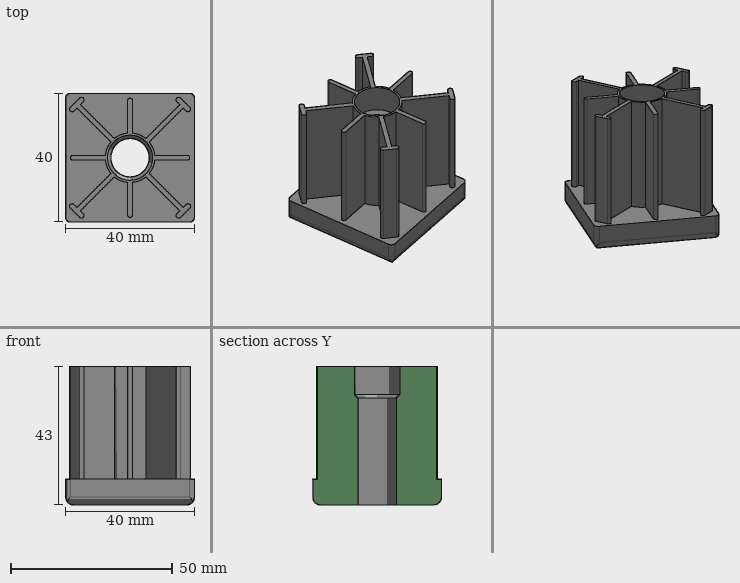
import cadquery as cq

total_height = 42.99
cap_width = 40.0
cap_thickness = 8.0
cap_corner_radius = 1.5
cap_edge_radius = 2.5

stem_height = total_height - cap_thickness
socket_outer_diameter = 15.4

bore_top_diameter = 14.0
bore_bottom_diameter = 11.84
bore_depth = 8.75
cone_height = (bore_top_diameter - bore_bottom_diameter) / 2

rib_count_per_kind = 4
rib_spacing = 360 / rib_count_per_kind
rib_thickness = 1.5
rib_overlap = 0.5
rib_start = socket_outer_diameter / 2 - rib_overlap

straight_rib_reach = 18.5
tee_rib_reach = 24.15

head_thickness = 1.6
head_length = 5.7


def stem_plane():
    """Workplane on the upper face of the cap."""
    return cq.Workplane("XY").workplane(offset=cap_thickness)


def make_rounded_bar(profile_plane, lower_edges):
    """Block of the cap's size with two opposite lower edges rounded."""
    return (
        cq.Workplane(profile_plane)
        .center(0, cap_thickness / 2)
        .rect(cap_width, cap_thickness)
        .extrude(cap_width / 2, both=True)
        .edges(lower_edges)
        .fillet(cap_edge_radius)
    )


def make_cap():
    """Square cap with rounded corners and rounded lower edges that meet in mitres."""
    block = (
        cq.Workplane("XY")
        .rect(cap_width, cap_width)
        .extrude(cap_thickness)
        .edges("|Z")
        .fillet(cap_corner_radius)
    )
    bar_along_y = make_rounded_bar("XZ", "|Y and <Z")
    bar_along_x = make_rounded_bar("YZ", "|X and <Z")
    return block.intersect(bar_along_y).intersect(bar_along_x)


def make_rib_wall(wall_end):
    """Flat wall along +X from the socket to the given distance from the axis."""
    wall_length = wall_end - rib_start
    return (
        stem_plane()
        .center(rib_start + wall_length / 2, 0)
        .rect(wall_length, rib_thickness)
        .extrude(stem_height)
    )


def make_straight_rib():
    """Rib along +X with a round outer end."""
    tip_centre = straight_rib_reach - rib_thickness / 2
    tip = stem_plane().center(tip_centre, 0).circle(rib_thickness / 2).extrude(stem_height)
    return make_rib_wall(tip_centre).union(tip)


def make_tee_rib():
    """Rib along +X that ends in a crosswise head with round ends."""
    head_centre = tee_rib_reach - head_thickness / 2
    head = (
        stem_plane()
        .center(head_centre, 0)
        .slot2D(head_length, head_thickness, 90)
        .extrude(stem_height)
    )
    return make_rib_wall(head_centre).union(head)


def turn(shape, angle):
    """Copy of the shape turned about the Z axis."""
    return shape.rotate((0, 0, 0), (0, 0, 1), angle)


def make_bore():
    """Wide bore from the top that narrows through a cone to the lower hole."""
    upper_radius = bore_top_diameter / 2
    lower_radius = bore_bottom_diameter / 2
    cone_top = total_height - bore_depth
    cone_bottom = cone_top - cone_height
    return (
        cq.Workplane("XZ")
        .moveTo(0, 0)
        .lineTo(lower_radius, 0)
        .lineTo(lower_radius, cone_bottom)
        .lineTo(upper_radius, cone_top)
        .lineTo(upper_radius, total_height)
        .lineTo(0, total_height)
        .close()
        .revolve(360, (0, 0, 0), (0, 1, 0))
    )


socket = stem_plane().circle(socket_outer_diameter / 2).extrude(stem_height)
body = make_cap().union(socket)

for index in range(rib_count_per_kind):
    angle = index * rib_spacing
    body = body.union(turn(make_straight_rib(), angle))
    body = body.union(turn(make_tee_rib(), angle + rib_spacing / 2))

result = body.cut(make_bore())